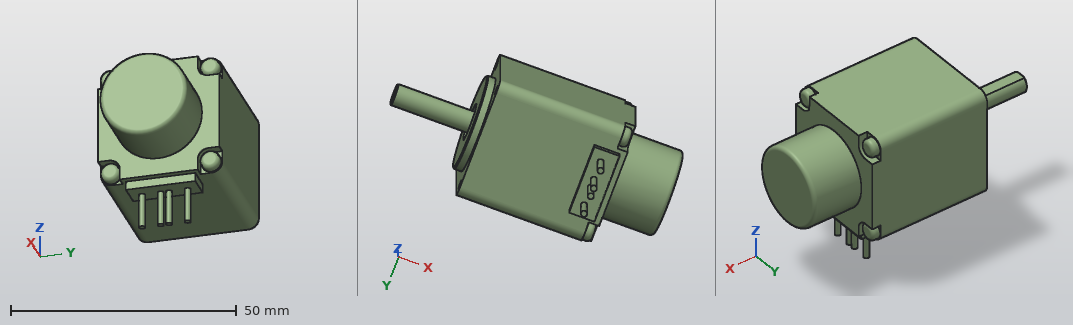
import cadquery as cq


shaft_flat_end = 15.0
pilot_start = 18.0
body_start = 20.0
body_length = 32.0
body_end = body_start + body_length
overall_length = 65.0

body_width = 28.0
body_corner_radius = 2.5
screw_spacing = 23.0
screw_offset = screw_spacing / 2
screw_positions = [(y, z) for y in (-screw_offset, screw_offset) for z in (-screw_offset, screw_offset)]

notch_depth = 2.4
notch_corner_radius = 2.5
notch_width = body_width / 2 - screw_offset + notch_corner_radius
screw_head_diameter = 4.5
screw_head_height = 2.0
screw_head_fillet = 1.0
mount_hole_diameter = 2.08
mount_hole_depth = 4.0

pilot_diameter = 22.0
pilot_chamfer = 0.3
shaft_recess_diameter = 8.5
shaft_recess_depth = 3.0
shaft_diameter = 5.0
shaft_flat_height = 2.0
shaft_tip_chamfer = 0.25

cover_diameter = 20.0
cover_fillet = 1.0

connector_start = 44.5
connector_length = 6.0
connector_width = 16.0
connector_height = 2.0
pin_x = 47.0
pin_diameter = 1.4
pin_length = 8.0
pin_outer_offset = 5.25
pin_inner_offset = 0.95


def cylinder_x(diameter, start, end, y=0.0, z=0.0):
    """Cylinder parallel to X between two x positions."""
    plane = cq.Workplane("YZ", origin=(start, y, z))
    return plane.circle(diameter / 2).extrude(end - start)


def make_body():
    """Square body with rounded long edges and notched rear corners."""
    body = cq.Workplane("YZ", origin=(body_start, 0, 0)).rect(body_width, body_width).extrude(body_length)
    body = body.edges("|X").fillet(body_corner_radius)
    notches = (
        cq.Workplane("YZ", origin=(body_end - notch_depth, 0, 0))
        .rect(body_width, body_width, forConstruction=True)
        .vertices()
        .rect(2 * notch_width, 2 * notch_width)
        .extrude(notch_depth)
        .edges("|X")
        .fillet(notch_corner_radius)
    )
    return body.cut(notches)


def make_screw_head(y, z):
    """Round-edged screw head standing on the floor of a corner notch."""
    floor = body_end - notch_depth
    head = cylinder_x(screw_head_diameter, floor, floor + screw_head_height, y, z)
    return head.faces(">X").edges().fillet(screw_head_fillet)


def make_pilot():
    """Centring disc on the front face."""
    pilot = cylinder_x(pilot_diameter, pilot_start, body_start)
    return pilot.faces("<X").edges().chamfer(pilot_chamfer)


def make_shaft():
    """Shaft with a chamfered tip and a flat on its upper side."""
    shaft = cylinder_x(shaft_diameter, 0, body_start + shaft_recess_depth)
    shaft = shaft.faces("<X").edges().chamfer(shaft_tip_chamfer)
    flat_cutter = cq.Workplane("XY").box(
        shaft_flat_end, shaft_diameter, shaft_diameter, centered=(False, True, False)
    )
    return shaft.cut(flat_cutter.translate((0, 0, shaft_flat_height)))


def make_rear_cover():
    """Round cover behind the body with a filleted rear edge."""
    cover = cylinder_x(cover_diameter, body_end, overall_length)
    return cover.faces(">X").edges().fillet(cover_fillet)


def make_connector():
    """Connector block under the body with four pins pointing down."""
    body_bottom = -body_width / 2
    connector_bottom = body_bottom - connector_height
    block = cq.Workplane("XY").box(
        connector_length, connector_width, connector_height, centered=(False, True, False)
    )
    block = block.translate((connector_start, 0, connector_bottom))
    pin_offsets = (-pin_outer_offset, -pin_inner_offset, pin_inner_offset, pin_outer_offset)
    pin_points = [(pin_x, y) for y in pin_offsets]
    pins = (
        cq.Workplane("XY", origin=(0, 0, connector_bottom))
        .pushPoints(pin_points)
        .circle(pin_diameter / 2)
        .extrude(-pin_length)
    )
    return block.union(pins)


result = make_body().union(make_pilot())
result = result.cut(cylinder_x(shaft_recess_diameter, pilot_start, pilot_start + shaft_recess_depth))
result = result.union(make_shaft()).union(make_rear_cover()).union(make_connector())
for screw_y, screw_z in screw_positions:
    mount_hole = cylinder_x(mount_hole_diameter, body_start, body_start + mount_hole_depth, screw_y, screw_z)
    result = result.cut(mount_hole).union(make_screw_head(screw_y, screw_z))